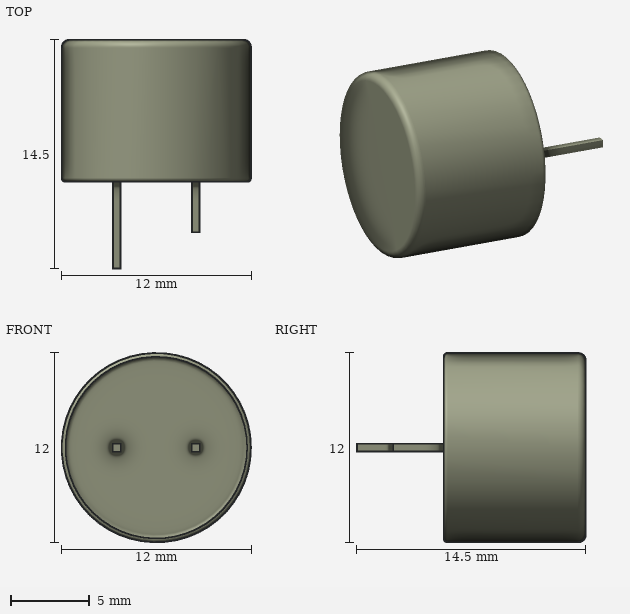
import cadquery as cq

total_length = 14.5
can_diameter = 12.0
can_length = 9.0
back_fillet = 0.5
rim_radius = 0.25
pin_side = 0.5
pin_spacing = 5.0
short_pin_length = 3.2

can_radius = can_diameter / 2
long_pin_length = total_length - can_length
base_radius = can_radius - 2 * rim_radius


def make_can():
    """Round can with a rounded back edge and a sharp-crested rim around a recessed base."""
    profile = (
        cq.Workplane("XY")
        .moveTo(0, rim_radius)
        .lineTo(base_radius, rim_radius)
        .radiusArc((can_radius - rim_radius, 0), rim_radius)
        .radiusArc((can_radius, rim_radius), -rim_radius)
        .lineTo(can_radius, can_length - back_fillet)
        .radiusArc((can_radius - back_fillet, can_length), -back_fillet)
        .lineTo(0, can_length)
        .close()
    )
    return profile.revolve(360, (0, 0, 0), (0, 1, 0))


def make_pin(x, length):
    """Square pin that starts at the recessed base and ends `length` below the rim."""
    return (
        cq.Workplane("XY")
        .box(pin_side, length + rim_radius, pin_side, centered=(True, False, True))
        .translate((x, -length, 0))
    )


long_pin = make_pin(-pin_spacing / 2, long_pin_length)
short_pin = make_pin(pin_spacing / 2, short_pin_length)
result = make_can().union(long_pin).union(short_pin)